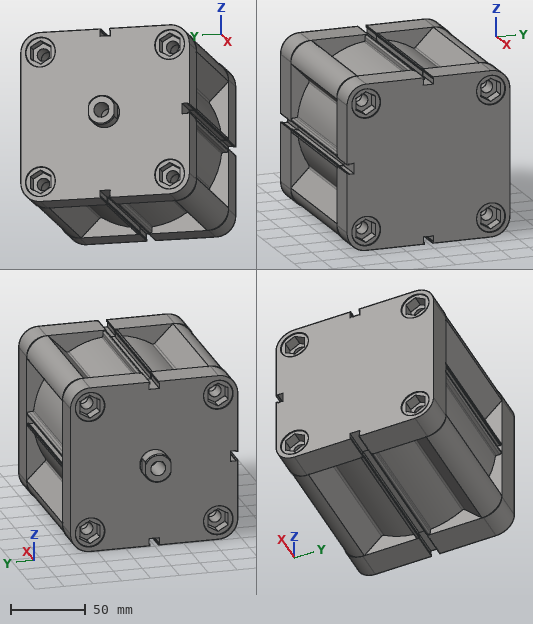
import cadquery as cq
import math


total_length = 137.0
rod_protrusion = 10.0
cap_length = 19.7
front_cap_x = rod_protrusion
barrel_x = front_cap_x + cap_length
rear_cap_x = total_length - cap_length
barrel_length = rear_cap_x - barrel_x

body_width = 116.0
half_width = body_width / 2
corner_radius = 13.5
bolt_offset = half_width - corner_radius
bolt_positions = [(y, z) for y in (-bolt_offset, bolt_offset) for z in (-bolt_offset, bolt_offset)]

bolt_hole_diameter = 8.5
bolt_recess_diameter = 20.5
bolt_recess_floor_diameter = 20.0
bolt_recess_depth = 0.5
socket_across_flats = 14.0
socket_depth = 7.7
socket_circle_diameter = socket_across_flats / math.cos(math.pi / 6)

slot_depth = 5.1
slot_lip = 1.2
cap_slot_opening = 6.0
cap_slot_width = 7.1
barrel_slot_opening = 5.1
barrel_slot_edge_chamfer = 0.5
barrel_slot_width = 6.2

core_radius = 53.5
web_width = 20.7
web_fillet = 1.5
barrel_corner_radius = 14.8
rib_drop = 0.5
rib_top = half_width - rib_drop
rib_width = 10.5
rib_edge_radius = 1.1
rib_root_radius = 0.7

rod_diameter = 20.0
rod_chamfer = 0.7
rod_across_flats = 17.4
flat_length = 8.9
rod_hole_diameter = 10.1
rod_hole_depth = 20.0
drill_point_angle = 118.0

top_side, front_side, bottom_side, back_side = 0, 90, 180, 270
cap_slot_sides = (top_side, front_side, bottom_side)
barrel_slot_sides = (top_side, front_side, bottom_side, back_side)


def section_plane(x):
    """YZ plane at the given X, with local axes along Y and Z."""
    return cq.Workplane("YZ", origin=(x, 0, 0))


def turned(shape, angle):
    """Shape turned about the cylinder axis."""
    return shape.rotate((0, 0, 0), (1, 0, 0), angle)


def rounded_prism(x, length, radius):
    """Square bar with rounded corners."""
    return section_plane(x).rect(body_width, body_width).extrude(length).edges("|X").fillet(radius)


def t_slot(x, length, opening, width):
    """Cutter for a T-slot in the top side."""
    floor = half_width - slot_depth
    mouth = section_plane(x).center(0, floor + slot_depth / 2).rect(opening, slot_depth).extrude(length)
    cavity_height = slot_depth - slot_lip
    cavity = section_plane(x).center(0, floor + cavity_height / 2).rect(width, cavity_height).extrude(length)
    return mouth.union(cavity)


def bolt_holes(x, length):
    """Cutter for the four holes through the hollow bolts."""
    return section_plane(x).pushPoints(bolt_positions).circle(bolt_hole_diameter / 2).extrude(length)


def cap_blank():
    """End cap from X = 0 to cap_length, with its outer face at X = 0."""
    recess = (
        section_plane(0)
        .circle(bolt_recess_diameter / 2)
        .workplane(offset=bolt_recess_depth)
        .circle(bolt_recess_floor_diameter / 2)
        .loft(ruled=True)
    )

    socket = section_plane(bolt_recess_depth).polygon(6, socket_circle_diameter).extrude(socket_depth)
    socket = turned(socket, 90)

    cap = rounded_prism(0, cap_length, corner_radius)
    cap = cap.cut(bolt_holes(0, cap_length))
    for y, z in bolt_positions:
        cap = cap.cut(socket.translate((0, y, z))).cut(recess.translate((0, y, z)))

    slot = t_slot(0, cap_length, cap_slot_opening, cap_slot_width)
    for angle in cap_slot_sides:
        cap = cap.cut(turned(slot, angle))
    return cap


def make_front_cap():
    """Front cap with the bore that the rod passes through."""
    rod_bore = section_plane(0).circle(rod_diameter / 2).extrude(cap_length)
    return cap_blank().cut(rod_bore).translate((front_cap_x, 0, 0))


def make_rear_cap():
    """Rear cap, a mirror image of the front cap without the rod bore."""
    return cap_blank().mirror("YZ").translate((total_length, 0, 0))


def root_points(thickness, first_angle):
    """Points (y, z) where the walls of four radial bars, a quarter turn apart, meet the core."""
    half_angle = math.asin(thickness / 2 / core_radius)
    points = []
    for quarter in range(4):
        bar_angle = first_angle + quarter * math.pi / 2
        for angle in (bar_angle - half_angle, bar_angle + half_angle):
            points.append((core_radius * math.cos(angle), core_radius * math.sin(angle)))
    return points


def fillet_edges_at(body, points, radius):
    """Fillet the lengthwise barrel edges that pass through the given (y, z) points."""
    middle_x = barrel_x + barrel_length / 2
    for y, z in points:
        body = body.edges(cq.selectors.NearestToPointSelector((middle_x, y, z))).fillet(radius)
    return body


def make_barrel():
    """Barrel: a round core with four diagonal webs and four slotted ribs."""
    core = section_plane(barrel_x).circle(core_radius).extrude(barrel_length)
    web = section_plane(barrel_x).rect(2 * body_width, web_width).extrude(barrel_length)
    webs = turned(web, 45).union(turned(web, -45))
    webs = webs.intersect(rounded_prism(barrel_x, barrel_length, barrel_corner_radius))
    barrel = core.union(webs)

    barrel = fillet_edges_at(barrel, root_points(web_width, math.pi / 4), web_fillet)

    rib = section_plane(barrel_x).center(0, rib_top / 2).rect(rib_width, rib_top).extrude(barrel_length)
    rib = rib.edges("|X and >Z").fillet(rib_edge_radius)
    for angle in barrel_slot_sides:
        barrel = barrel.union(turned(rib, angle))

    barrel = fillet_edges_at(barrel, root_points(rib_width, 0), rib_root_radius)

    slot = t_slot(barrel_x, barrel_length, barrel_slot_opening, barrel_slot_width)
    bevel_half_width = barrel_slot_opening / 2 + barrel_slot_edge_chamfer
    mouth_bevel = (
        section_plane(barrel_x)
        .moveTo(0, rib_top - barrel_slot_edge_chamfer - barrel_slot_opening / 2)
        .lineTo(-bevel_half_width, rib_top)
        .lineTo(bevel_half_width, rib_top)
        .close()
        .extrude(barrel_length)
    )
    slot = slot.union(mouth_bevel)
    for angle in barrel_slot_sides:
        barrel = barrel.cut(turned(slot, angle))
    return barrel.cut(bolt_holes(barrel_x, barrel_length))


def make_rod():
    """Piston rod through the front cap, with two wrench flats and a drilled hole in its tip."""
    rod = section_plane(0).circle(rod_diameter / 2).extrude(barrel_x)
    rod = rod.faces("<X").chamfer(rod_chamfer)
    flats = section_plane(0).rect(2 * rod_diameter, 2 * rod_diameter).rect(rod_across_flats, 2 * rod_diameter)
    rod = rod.cut(flats.extrude(flat_length))

    hole_radius = rod_hole_diameter / 2
    point_x = rod_hole_depth + hole_radius / math.tan(math.radians(drill_point_angle / 2))
    hole_outline = (
        cq.Workplane("XY")
        .polyline([(0, 0), (0, hole_radius), (rod_hole_depth, hole_radius), (point_x, 0)])
        .close()
    )
    return rod.cut(hole_outline.revolve(360, (0, 0, 0), (1, 0, 0)))


front_cap = make_front_cap()
barrel = make_barrel()
rear_cap = make_rear_cap()
rod = make_rod()

result = cq.Compound.makeCompound([front_cap.val(), barrel.val(), rear_cap.val(), rod.val()])